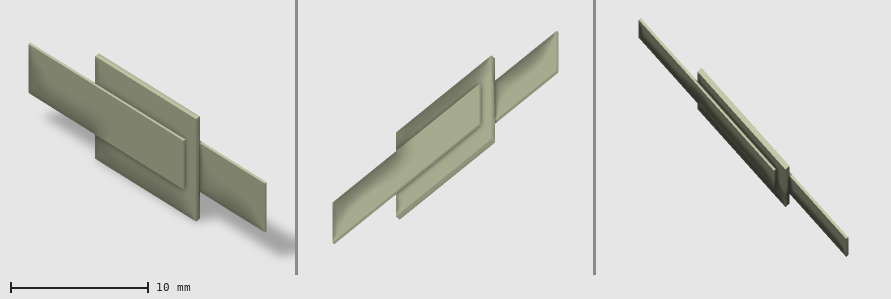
import cadquery as cq

total_length = 22.35
total_thickness = 0.8

plate_width = 9.77
plate_height = 10.6
plate_thickness = 0.4

strip_length = 15.02
strip_height = 5.05
strip_thickness = (total_thickness - plate_thickness) / 2

strip_offset_x = (total_length - strip_length) / 2
strip_offset_y = (plate_thickness + strip_thickness) / 2


def make_strip(side):
    """Strip on the -Y face reaching -X (side = -1), or the +Y face reaching +X (side = 1)."""
    strip = cq.Workplane("XY").box(strip_length, strip_thickness, strip_height)
    return strip.translate((side * strip_offset_x, side * strip_offset_y, 0))


result = cq.Workplane("XY").box(plate_width, plate_thickness, plate_height)
for side in (-1, 1):
    result = result.union(make_strip(side))